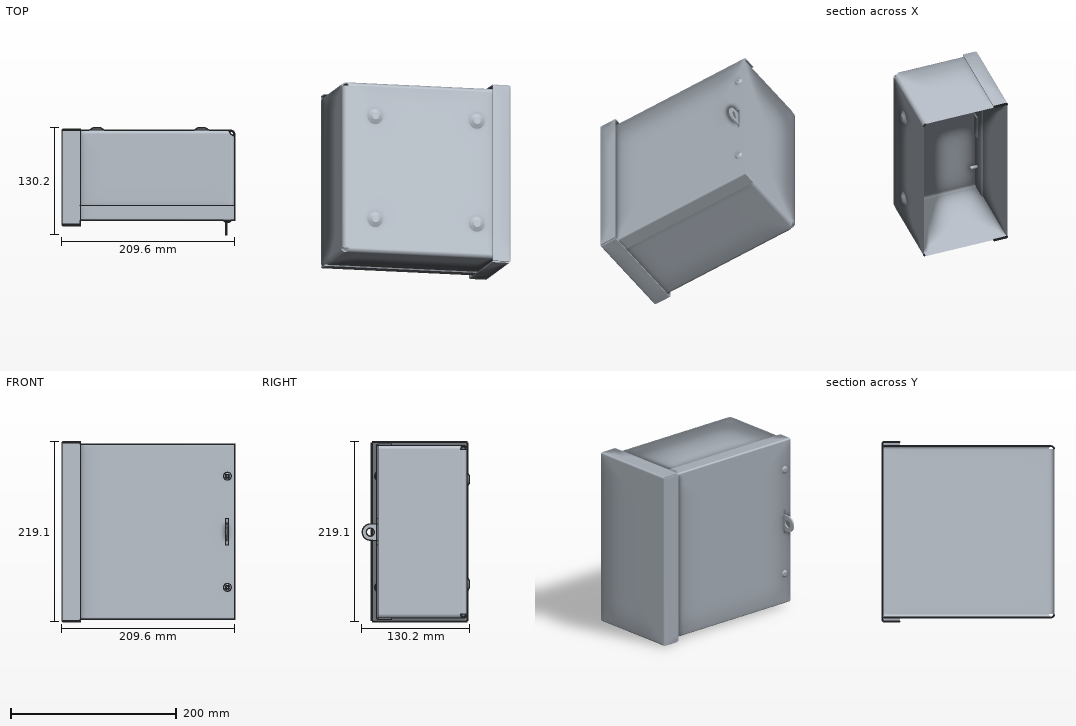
import cadquery as cq


length = 209.56
hood_height = 219.07
total_depth = 130.16
hood_depth = 117.5
sheet = 1.5

hood_width = 22.5
hood_bend = 2.3
corner_gap = 0.2

cover_height = 212.2
cover_bend = 2.0
cover_flange = 18.2
hood_overhang = 6.6
cover_start = 5.0

hasp_thickness = 1.9
hasp_offset = 11.2
ear_diameter = 20.0
ear_level = -0.4
ear_hole_diameter = 9.53
ear_tip = 17.6
hasp_base_width = 9.0
hasp_base_top = 10.6
hasp_base_bottom = -20.0

slot_width = 3.8
slot_height = 31.8

screw_offset = 9.0
screw_spacing = 134.8
head_diameter = 9.53
head_height = 2.6
shank_diameter = 4.17
shank_length = 12.0
cross_length = 5.8
cross_width = 1.6
cross_depth = 1.5

box_bend = 4.76
relief_spread = 2.8
front_flange_width = 24.0

boss_spacing = 127.0
boss_center_x = 105.8
boss_diameter = 19.05
boss_top_diameter = 8.5

hood_front = -hood_overhang
hood_back = hood_front + hood_depth
box_back = hood_back - sheet
boss_height = total_depth - ear_tip - box_back
cover_inside = sheet
flange_inside = cover_inside + sheet
hasp_back = flange_inside + hasp_thickness
hasp_bend = sheet
box_height = cover_height - 2 * sheet
box_top = box_height / 2
ear_face = length - hasp_offset
screw_x = length - screw_offset
screw_levels = [-screw_spacing / 2, screw_spacing / 2]


def block(x_range, y_range, z_range):
    """Rectangular block between the given limits."""
    sizes = [high - low for low, high in (x_range, y_range, z_range)]
    corner = (x_range[0], y_range[0], z_range[0])
    return cq.Workplane("XY").box(*sizes, centered=False).translate(corner)


def rod(x, z, diameter, y_start, y_end):
    """Round bar along Y."""
    plane = cq.Workplane("XZ", origin=(x, y_start, z))
    return plane.circle(diameter / 2).extrude(y_start - y_end)


def hood_block(inset):
    """Rounded block of the hood, moved in by the inset on every side but the open one."""
    half_height = hood_height / 2 - inset
    body = block(
        (inset, hood_width),
        (hood_front + inset, hood_back - inset),
        (-half_height, half_height),
    )
    return body.faces("<X").edges().fillet(hood_bend - inset)


def make_hood():
    hood = hood_block(0).cut(hood_block(sheet))

    notch = sheet + corner_gap
    top_notch = (hood_height / 2 - notch, hood_height / 2)
    bottom_notch = (-hood_height / 2, -hood_height / 2 + notch)
    for y_range in ((hood_front, hood_front + notch), (hood_back - notch, hood_back)):
        for z_range in (top_notch, bottom_notch):
            hood = hood.cut(block((0, hood_width), y_range, z_range))
    return hood


def cover_block(inset):
    """Channel block of the cover with both long front edges rounded."""
    half_height = cover_height / 2 - inset
    body = block((cover_start, length), (inset, cover_flange), (-half_height, half_height))
    return body.edges("|X and <Y").fillet(cover_bend - inset)


def make_cover():
    cover = cover_block(0).cut(cover_block(sheet))
    slot = block(
        (ear_face, ear_face + slot_width),
        (0, cover_inside),
        (-slot_height / 2, slot_height / 2),
    )
    cover = cover.cut(slot)
    for z in screw_levels:
        cover = cover.cut(rod(screw_x, z, shank_diameter, 0, cover_inside))
    return cover


def box_block(inset):
    """Box block with its bent edges rounded at the back, the long sides and the screw end."""
    half_height = box_top - inset
    body = block(
        (hood_bend, length - inset),
        (cover_inside, box_back - inset),
        (-half_height, half_height),
    )
    bends = "(|X and >Y) or (|Y and >X) or (|Z and >X and >Y)"
    return body.edges(bends).fillet(box_bend - inset)


def corner_relief():
    """Opening between the bends at an outer corner, as deep as one bend."""
    flat_x = length - box_bend
    flat_y = box_back - box_bend
    outline = [
        (flat_x, flat_y),
        (flat_x - relief_spread, box_back),
        (length, box_back),
        (length, flat_y - relief_spread),
    ]
    plane = cq.Workplane("XY", origin=(0, 0, box_top - box_bend))
    return plane.polyline(outline).close().extrude(box_bend)


def make_box():
    envelope = box_block(0).edges("|X and <Y").fillet(cover_bend - sheet)
    box = envelope.cut(box_block(sheet))

    flange = block(
        (length - front_flange_width, length),
        (cover_inside, flange_inside),
        (-box_top, box_top),
    )
    box = box.union(flange.intersect(envelope))
    for z in screw_levels:
        box = box.cut(rod(screw_x, z, shank_diameter, cover_inside, flange_inside))

    window = block(
        (ear_face, ear_face + hasp_thickness + hasp_bend),
        (cover_inside, flange_inside),
        (hasp_base_bottom, hasp_base_top),
    )
    box = box.cut(window)

    relief = corner_relief()
    box = box.cut(relief).cut(relief.mirror("XY"))

    for x in (boss_center_x - boss_spacing / 2, boss_center_x + boss_spacing / 2):
        for z in (-boss_spacing / 2, boss_spacing / 2):
            box = box.union(make_boss(x, z))
    return box


def make_boss(x, z):
    """Cone frustum standing on the back of the box."""
    base = cq.Workplane("XZ", origin=(x, box_back, z)).circle(boss_diameter / 2)
    top = base.workplane(offset=-boss_height).circle(boss_top_diameter / 2)
    return top.loft()


def make_hasp():
    base = block(
        (ear_face, ear_face + hasp_base_width),
        (flange_inside, hasp_back),
        (hasp_base_bottom, hasp_base_top),
    )

    ear_center = -ear_tip + ear_diameter / 2
    ear_x_range = (ear_face, ear_face + hasp_thickness)
    ear = cq.Workplane("YZ", origin=(ear_face, ear_center, ear_level))
    ear = ear.circle(ear_diameter / 2).extrude(hasp_thickness)
    ear_z_range = (ear_level - ear_diameter / 2, ear_level + ear_diameter / 2)
    neck = block(ear_x_range, (ear_center, flange_inside), ear_z_range)
    hole = cq.Workplane("YZ", origin=(ear_face, ear_center, ear_level))
    hole = hole.circle(ear_hole_diameter / 2).extrude(hasp_thickness)

    ear_back = ear_face + hasp_thickness
    bend = cq.Workplane("XY", origin=(0, 0, hasp_base_bottom))
    bend = bend.moveTo(ear_face, cover_inside).lineTo(ear_back, cover_inside)
    bend = bend.radiusArc((ear_back + hasp_bend, flange_inside), -hasp_bend)
    bend = bend.lineTo(ear_face, flange_inside).close()
    bend = bend.extrude(hasp_base_top - hasp_base_bottom)
    return base.union(bend).union(ear).union(neck).cut(hole)


def make_screw(z):
    """Domed head with a cross recess, on a round shank."""
    head_radius = head_diameter / 2
    dome_radius = (head_radius**2 + head_height**2) / (2 * head_height)
    head = cq.Workplane("XY", origin=(screw_x, 0, z)).lineTo(head_radius, 0)
    head = head.radiusArc((0, -head_height), dome_radius).close()
    head = head.revolve(360, (0, 0), (0, 1))
    screw = head.union(rod(screw_x, z, shank_diameter, 0, shank_length))
    recess = cq.Workplane("XZ", origin=(screw_x, -head_height, z))
    for angle in (45, 135):
        arm = recess.transformed(rotate=(0, 0, angle)).rect(cross_length, cross_width)
        screw = screw.cut(arm.extrude(-cross_depth))
    return screw


box = make_box()
hood = make_hood()
cover = make_cover()
hasp = make_hasp()
screws = [make_screw(z) for z in screw_levels]

result = cq.Compound.makeCompound(
    [box.val(), hood.val(), cover.val(), hasp.val(), *[screw.val() for screw in screws]]
)